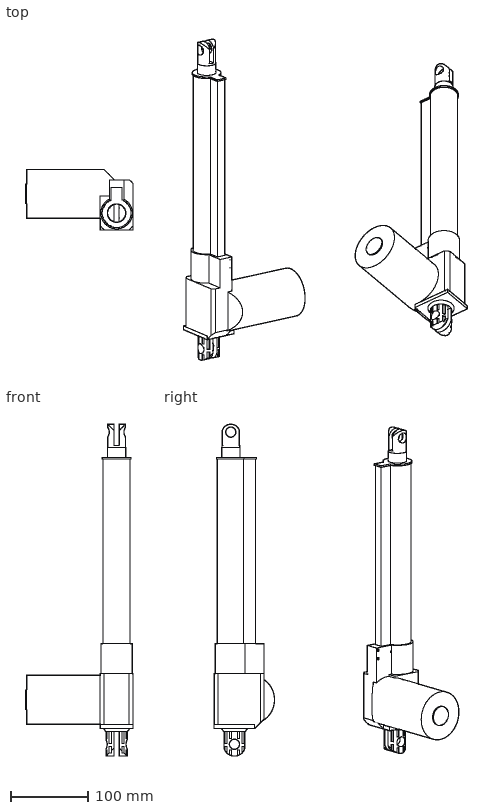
import cadquery as cq


OVERALL_HEIGHT = 430.0
PLATE_BOTTOM = 35.5
PLATE_TOP = 41.0
BODY_TOP = 107.0
COLLAR_TOP = 145.7
TUBE_TOP = 387.0
ROD_SHOULDER = 399.8

PLATE_HALF_WIDTH = 21.5
PLATE_FRONT = -22.0
PLATE_REAR = 31.0
BODY_INSET = 0.2
BODY_HALF_WIDTH = PLATE_HALF_WIDTH - BODY_INSET
BODY_FRONT = PLATE_FRONT + BODY_INSET
BODY_LEFT_REAR = 22.0
BODY_REAR = 43.0
BODY_FRONT_CHAMFER = 5.0
BODY_REAR_CHAMFER = 4.5

MOTOR_DIAMETER = 63.5
MOTOR_AXIS_Y = 25.0
MOTOR_AXIS_Z = 73.0
MOTOR_END_X = -116.5
MOTOR_BOSS_DIAMETER = 25.5
MOTOR_BOSS_HEIGHT = 1.7
ADAPTER_FLAT_LENGTH = 4.7

COLLAR_DIAMETER = 41.0
COLLAR_RAIL_HALF_WIDTH = 9.5
TUBE_DIAMETER = 35.2
RAIL_HALF_WIDTH = 6.0
RAIL_REAR = 32.2
CAP_OVERHANG = 1.07
CAP_THICKNESS = 2.0

SCREW_HOLE_DIAMETER = 3.0
SCREW_HOLE_Y = 40.0
SCREW_HOLE_LEVELS = (131.0, 142.3)
PIN_HOLE_DIAMETER = 1.9
PIN_HOLE_Y = 18.5
PIN_HOLE_LEVEL = 136.5
SIDE_HOLE_DEPTH = 2.0

ROD_DIAMETER = 24.0
ROD_CLEVIS_DIAMETER = 23.0
ROD_PIN_LEVEL = 419.5
ROD_SLOT_BOTTOM = 402.5

REAR_CLEVIS_Y = 4.7
REAR_CLEVIS_DIAMETER = 28.0
REAR_FLANGE_DIAMETER = 34.0
REAR_FLANGE_HEIGHT = 4.0
REAR_PIN_LEVEL = 15.5
REAR_SLOT_TOP = PLATE_BOTTOM - REAR_FLANGE_HEIGHT

REAR_NOTCHES = (
    ((7.0, 10.0), (12.5, 16.5)),
    ((12.5, 4.0), (8.0, 22.8)),
)

PIN_DIAMETER = 13.0
CLEVIS_SLOT_WIDTH = 6.5


def block(x_range, y_range, z_range):
    """Box given by its lower and upper limits on each axis."""
    sizes = [high - low for low, high in (x_range, y_range, z_range)]
    corner = (x_range[0], y_range[0], z_range[0])
    return cq.Workplane("XY").box(*sizes, centered=False).translate(corner)


def upright_cylinder(diameter, bottom, top, y=0):
    return cq.Workplane("XY", origin=(0, y, bottom)).circle(diameter / 2).extrude(top - bottom)


def cylinder_along_x(diameter, start, end, y, z):
    return cq.Workplane("YZ", origin=(start, y, z)).circle(diameter / 2).extrude(end - start)


def tube_with_rail(diameter, rail_half_width, rail_rear, bottom, top):
    """Upright cylinder merged with a straight rail reaching back to rail_rear."""
    rail = block((-rail_half_width, rail_half_width), (0, rail_rear), (bottom, top))
    return upright_cylinder(diameter, bottom, top).union(rail)


def clevis(diameter, y, end, base, pin_level, slot_bottom):
    """Round fork with a rounded end, a slot open to the end and a cross pin hole."""
    radius = diameter / 2
    direction = 1 if end > base else -1
    arc_center = end - direction * radius
    low, high = sorted((base, end))
    fork = upright_cylinder(diameter, low, high, y)
    rounding = cylinder_along_x(diameter, -radius, radius, y, arc_center)
    low, high = sorted((base, arc_center))
    shank = block((-radius, radius), (y - radius, y + radius), (low, high))
    low, high = sorted((slot_bottom, end))
    half_slot = CLEVIS_SLOT_WIDTH / 2
    slot = block((-half_slot, half_slot), (y - radius, y + radius), (low, high))
    pin = cylinder_along_x(PIN_DIAMETER, -radius, radius, y, pin_level)
    return fork.intersect(shank.union(rounding)).cut(slot).cut(pin)


def gearbox():
    """Base plate and body; the left part of the body is shallower to make room for the adapter."""
    left, right = -BODY_HALF_WIDTH, BODY_HALF_WIDTH
    front = BODY_FRONT
    step = BODY_FRONT_CHAMFER
    outline = [
        (left, front + step),
        (left + step, front),
        (right - step, front),
        (right, front + step),
        (right, BODY_REAR - BODY_REAR_CHAMFER),
        (right - BODY_REAR_CHAMFER, BODY_REAR),
        (-COLLAR_RAIL_HALF_WIDTH, BODY_REAR),
        (-COLLAR_RAIL_HALF_WIDTH, BODY_LEFT_REAR),
        (left, BODY_LEFT_REAR),
    ]
    body = cq.Workplane("XY", origin=(0, 0, PLATE_BOTTOM)).polyline(outline).close()
    body = body.extrude(BODY_TOP - PLATE_BOTTOM)
    overhang = BODY_REAR - PLATE_REAR
    slope = [
        (PLATE_REAR, PLATE_BOTTOM),
        (BODY_REAR, PLATE_BOTTOM),
        (BODY_REAR, PLATE_BOTTOM + overhang),
    ]
    underside = cq.Workplane("YZ", origin=(left, 0, 0)).polyline(slope).close().extrude(right - left)
    plate_sides = (-PLATE_HALF_WIDTH, PLATE_HALF_WIDTH)
    plate = block(plate_sides, (PLATE_FRONT, PLATE_REAR), (PLATE_BOTTOM, PLATE_TOP))
    return body.cut(underside).union(plate)


def motor():
    start, joint = MOTOR_END_X, -BODY_HALF_WIDTH
    housing = cylinder_along_x(MOTOR_DIAMETER, start, joint, MOTOR_AXIS_Y, MOTOR_AXIS_Z)
    boss_end = start - MOTOR_BOSS_HEIGHT
    boss = cylinder_along_x(MOTOR_BOSS_DIAMETER, boss_end, start, MOTOR_AXIS_Y, MOTOR_AXIS_Z)
    return housing.union(boss)


def motor_adapter():
    """Extension of the motor cylinder whose rear is cut off at 45 degrees."""
    start, end = -BODY_HALF_WIDTH, BODY_HALF_WIDTH
    adapter = cylinder_along_x(MOTOR_DIAMETER, start, end, MOTOR_AXIS_Y, MOTOR_AXIS_Z)
    rear = MOTOR_AXIS_Y + MOTOR_DIAMETER / 2
    flat_end = start + ADAPTER_FLAT_LENGTH
    slope_end = flat_end + rear - BODY_REAR
    outline = [
        (start, BODY_FRONT),
        (end, BODY_FRONT),
        (end, BODY_LEFT_REAR),
        (slope_end, BODY_LEFT_REAR),
        (slope_end, BODY_REAR),
        (flat_end, rear),
        (start, rear),
    ]
    limits = cq.Workplane("XY").polyline(outline).close().extrude(OVERALL_HEIGHT)
    return adapter.intersect(limits)


def collar():
    shape = tube_with_rail(COLLAR_DIAMETER, COLLAR_RAIL_HALF_WIDTH, BODY_REAR, MOTOR_AXIS_Z, COLLAR_TOP)
    holes = [(SCREW_HOLE_DIAMETER, SCREW_HOLE_Y, level) for level in SCREW_HOLE_LEVELS]
    side = -COLLAR_RAIL_HALF_WIDTH
    for diameter, y, level in holes + [(PIN_HOLE_DIAMETER, PIN_HOLE_Y, PIN_HOLE_LEVEL)]:
        shape = shape.cut(cylinder_along_x(diameter, side, side + SIDE_HOLE_DEPTH, y, level))
    return shape


def lift_tube():
    tube = tube_with_rail(TUBE_DIAMETER, RAIL_HALF_WIDTH, RAIL_REAR, BODY_TOP, TUBE_TOP)
    cap = tube_with_rail(
        TUBE_DIAMETER + 2 * CAP_OVERHANG,
        RAIL_HALF_WIDTH + CAP_OVERHANG,
        RAIL_REAR + CAP_OVERHANG,
        TUBE_TOP - CAP_THICKNESS,
        TUBE_TOP,
    )
    return tube.union(cap)


def rod():
    shaft = upright_cylinder(ROD_DIAMETER, BODY_TOP, ROD_SHOULDER)
    fork = clevis(ROD_CLEVIS_DIAMETER, 0, OVERALL_HEIGHT, ROD_SHOULDER, ROD_PIN_LEVEL, ROD_SLOT_BOTTOM)
    return shaft.union(fork)


def rear_notches():
    """Square corner notches above and below a rib, repeated in all four quadrants."""
    radius = REAR_CLEVIS_DIAMETER / 2
    quadrant = cq.Workplane("XY")
    for (corner_x, corner_y), (rib_bottom, rib_top) in REAR_NOTCHES:
        for levels in ((0, rib_bottom), (rib_top, REAR_SLOT_TOP)):
            quadrant = quadrant.union(block((corner_x, radius), (corner_y, radius), levels))
    half = quadrant.union(quadrant.mirror("YZ"))
    return half.union(half.mirror("XZ")).translate((0, REAR_CLEVIS_Y, 0))


def rear_mount():
    flange = (
        cq.Workplane("XY", origin=(0, REAR_CLEVIS_Y, PLATE_BOTTOM))
        .circle(REAR_FLANGE_DIAMETER / 2)
        .workplane(offset=-REAR_FLANGE_HEIGHT)
        .circle(REAR_CLEVIS_DIAMETER / 2)
        .loft()
    )
    fork = clevis(REAR_CLEVIS_DIAMETER, REAR_CLEVIS_Y, 0, PLATE_BOTTOM, REAR_PIN_LEVEL, REAR_SLOT_TOP)
    return fork.cut(rear_notches()).union(flange)


result = gearbox()
for section in (motor_adapter(), motor(), collar(), lift_tube(), rod(), rear_mount()):
    result = result.union(section)